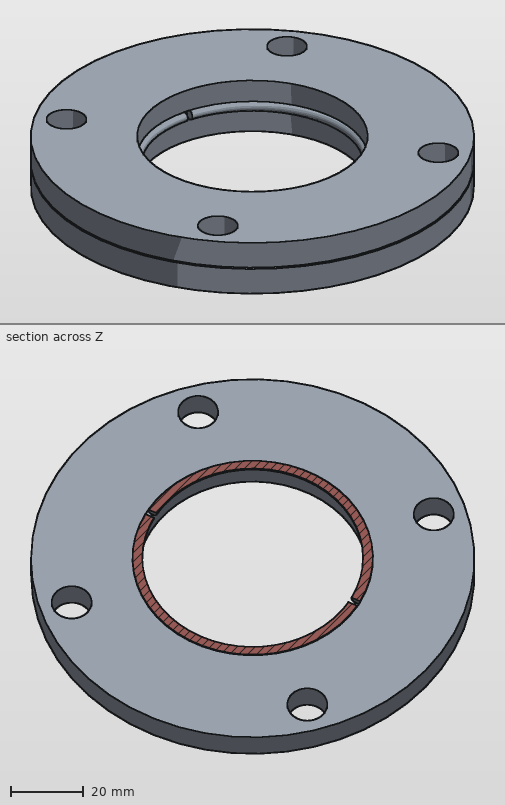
import cadquery as cq

outer_diameter = 122.0
total_height = 16.0
bore_diameter = 63.5
gap_height = 0.5

bolt_hole_diameter = 11.0
bolt_spacing = 73.6

wire_diameter = 2.8
ring_split_width = 1.6

flange_height = (total_height - gap_height) / 2


def make_flange(bottom_z):
    """Flat annular flange with four bolt holes."""
    return (
        cq.Workplane("XY", origin=(0, 0, bottom_z))
        .circle(outer_diameter / 2)
        .circle(bore_diameter / 2)
        .rect(bolt_spacing, bolt_spacing, forConstruction=True)
        .vertices()
        .circle(bolt_hole_diameter / 2)
        .extrude(flange_height)
    )


def make_wire():
    """Full torus of round wire, centred on the bore wall at mid height."""
    return (
        cq.Workplane("XZ")
        .center(bore_diameter / 2, total_height / 2)
        .circle(wire_diameter / 2)
        .revolve(360, (-bore_diameter / 2, 0), (-bore_diameter / 2, 1))
    )


def make_ring_split():
    """Bar along X that parts the wire at +X and -X."""
    return (
        cq.Workplane("XY")
        .box(outer_diameter, ring_split_width, wire_diameter)
        .translate((0, 0, total_height / 2))
    )


lower_flange = make_flange(0)
upper_flange = make_flange(flange_height + gap_height)

wire = make_wire()
grooved_flanges = lower_flange.union(upper_flange).cut(wire)
result = grooved_flanges.union(wire.cut(make_ring_split()))